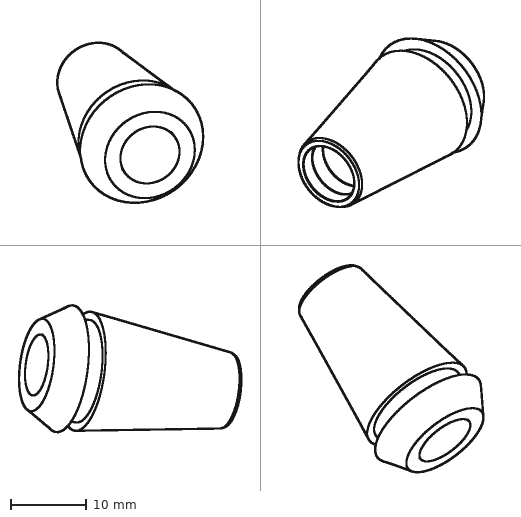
import cadquery as cq
import math

length = 27.5
rim_diameter = 17.08
groove_radius = 6.9
nose_radius = 5.15
nose_chamfer_length = 0.38
nose_chamfer_inset = 0.22
groove_start = 20.85
rim_start = 23.48
body_angle = math.radians(8)
head_angle = math.radians(30)

land_radius = 4.02
wide_bore_radius = 4.1
land_start = 2.0
land_end = 4.5
mouth_chamfer = 0.05

half_length = length / 2
rim_radius = rim_diameter / 2
body_end_radius = nose_radius + (groove_start - nose_chamfer_length) * math.tan(body_angle)
head_end_radius = rim_radius - (length - rim_start) * math.tan(head_angle)


def revolve_about_x(points):
    """Turn an outline of (distance from nose, radius) points about the X axis."""
    outline = [(distance - half_length, radius) for distance, radius in points]
    return cq.Workplane("XY").polyline(outline).close().revolve(360, (0, 0, 0), (1, 0, 0))


body = revolve_about_x([
    (0, 0),
    (0, nose_radius - nose_chamfer_inset),
    (nose_chamfer_length, nose_radius),
    (groove_start, body_end_radius),
    (groove_start, groove_radius),
    (rim_start, groove_radius),
    (rim_start, rim_radius),
    (length, head_end_radius),
    (length, 0),
])

bore = revolve_about_x([
    (0, 0),
    (0, wide_bore_radius + mouth_chamfer),
    (mouth_chamfer, wide_bore_radius),
    (land_start, wide_bore_radius),
    (land_start, land_radius),
    (land_end, land_radius),
    (land_end, wide_bore_radius),
    (length, wide_bore_radius),
    (length, 0),
])

result = body.cut(bore)